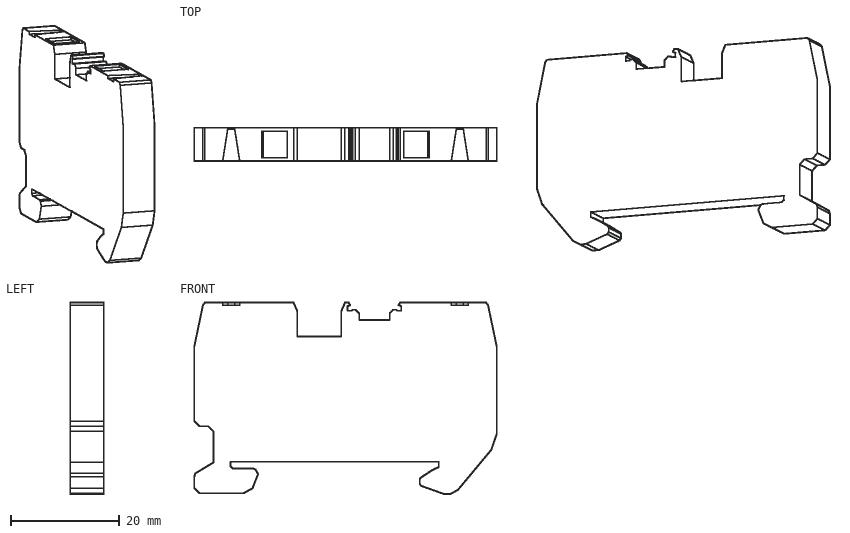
import cadquery as cq

length = 56.0
thickness = 6.2
height = 35.45

left = -length / 2
right = length / 2
top = height
corner_inset = 2.0
bevel_inset = 1.6
bevel_drop = 0.5
shoulder_drop = 8.15
rail_seat_z = 5.95

notch_x = left + 3.55
notch_top_z = 12.55
notch_bottom_z = 5.85
edge_bevel = 0.95
foot_bottom_z = 0.15
foot_side_top_z = 3.25
foot_shoulder_run = 0.2
foot_shoulder_rise = 0.6
foot_top_z = 4.75
foot_tip_x = left + 11.85
foot_tip_z = 3.7
foot_nose_run = 0.5
foot_nose_flat_run = 0.9
foot_nose_drop = 0.2
foot_toe_run = 1.05
foot_toe_z = 1.05
foot_sole_run = 2.7
slot_corner_bevel = 0.4
rail_slot_left_x = left + 6.75

rail_slot_right_x = left + 45.25
hook_tip_x = left + 41.7
hook_tip_bottom_z = 1.9
hook_tip_top_z = 2.7
hook_lower_bevel_run = 0.3
hook_lower_bevel_drop = 0.4
hook_upper_bevel_run = 0.15
hook_upper_bevel_rise = 0.3
hook_bottom_x = left + 46.2
hook_heel_x = left + 47.4
heel_bevel_run = 1.4
heel_bevel_rise = 0.75
hook_slope_run = 1.3
hook_slope_z = 4.4
hook_root_run = 0.6
hook_root_z = 4.75
slot_wall_bottom_z = 5.0
side_bottom_z = 11.1
knee_inset = 1.0
knee_x = right - knee_inset
knee_z = 8.2

slot_left_x = left + 19.1
slot_right_x = left + 27.2
slot_depth = 6.25
slot_lead_in = 0.7
slot_lead_in_drop = 1.6

marker_x = left + 33.35
marker_half_floor = 2.8
marker_depth = 3.2
lip_top_half = 4.75
lip_tip_half = 4.45
lip_tip_drop = 0.5
lip_root_half = 4.95
lip_root_drop = 0.7
groove_drop = 1.5
groove_end_half = 4.2
ridge_outer_half = 4.0
ridge_inner_half = 3.5
ridge_drop = 1.3
ridge_foot_drop = 2.0

recess_depth = 0.5
wedge_x = 21.15
wedge_front_width = 3.15
wedge_back_width = 1.3
wedge_back_wall = 0.3
pocket_inner_x = 10.8
pocket_outer_x = 15.5
pocket_wall_run = 0.3
pocket_width = 4.9


def marker_recess_side(side):
    """Outline of one side of the marker recess, from the lip down to the floor."""
    profile = [
        (lip_top_half, 0),
        (lip_tip_half, lip_tip_drop),
        (lip_root_half, lip_root_drop),
        (lip_root_half, groove_drop),
        (groove_end_half, groove_drop),
        (ridge_outer_half, ridge_drop),
        (ridge_inner_half, ridge_drop),
        (marker_half_floor, ridge_foot_drop),
        (marker_half_floor, marker_depth),
    ]
    return [(marker_x + side * half_width, top - drop) for half_width, drop in profile]


def top_outline():
    """Top edge from the left shoulder to the right shoulder."""
    left_part = [
        (left, top - shoulder_drop),
        (left + bevel_inset, top - bevel_drop),
        (left + corner_inset, top),
    ]
    bridge_slot = [
        (slot_left_x - slot_lead_in, top),
        (slot_left_x, top - slot_lead_in_drop),
        (slot_left_x, top - slot_depth),
        (slot_right_x, top - slot_depth),
        (slot_right_x, top - slot_lead_in_drop),
        (slot_right_x + slot_lead_in, top),
    ]
    marker_recess = marker_recess_side(-1) + marker_recess_side(1)[::-1]
    right_part = [(-x, z) for x, z in reversed(left_part)]
    return left_part + bridge_slot + marker_recess + right_part


def right_foot_outline():
    """Right side and hooked foot, from the side wall round to the rail seat."""
    return [
        (right, side_bottom_z),
        (knee_x, knee_z),
        (hook_heel_x + heel_bevel_run, heel_bevel_rise),
        (hook_heel_x, 0),
        (hook_bottom_x, 0),
        (hook_tip_x + hook_lower_bevel_run, hook_tip_bottom_z - hook_lower_bevel_drop),
        (hook_tip_x, hook_tip_bottom_z),
        (hook_tip_x, hook_tip_top_z),
        (hook_tip_x + hook_upper_bevel_run, hook_tip_top_z + hook_upper_bevel_rise),
        (rail_slot_right_x - hook_slope_run, hook_slope_z),
        (rail_slot_right_x - hook_root_run, hook_root_z),
        (rail_slot_right_x, slot_wall_bottom_z),
        (rail_slot_right_x, rail_seat_z),
    ]


def left_foot_outline():
    """Left foot and side notch, from the rail seat up to the side wall."""
    return [
        (rail_slot_left_x, rail_seat_z),
        (rail_slot_left_x, foot_top_z + slot_corner_bevel),
        (rail_slot_left_x + slot_corner_bevel, foot_top_z),
        (foot_tip_x - foot_nose_flat_run, foot_top_z),
        (foot_tip_x - foot_nose_run, foot_top_z - foot_nose_drop),
        (foot_tip_x, foot_tip_z),
        (foot_tip_x - foot_toe_run, foot_toe_z),
        (foot_tip_x - foot_sole_run, foot_bottom_z),
        (left + edge_bevel, foot_bottom_z),
        (left, foot_bottom_z + edge_bevel),
        (left, foot_side_top_z),
        (left + foot_shoulder_run, foot_side_top_z + foot_shoulder_rise),
        (notch_x, notch_bottom_z),
        (notch_x, notch_top_z - edge_bevel),
        (notch_x - edge_bevel, notch_top_z),
        (left + edge_bevel, notch_top_z),
        (left, notch_top_z + edge_bevel),
    ]


def housing():
    outline = top_outline() + right_foot_outline() + left_foot_outline()
    return cq.Workplane("XZ").polyline(outline).close().extrude(thickness / 2, both=True)


def wedge_recess():
    """Tapered recess, open at the front face."""
    front_y = -thickness / 2
    back_y = thickness / 2 - wedge_back_wall
    outline = [
        (wedge_x - wedge_front_width / 2, front_y),
        (wedge_x + wedge_front_width / 2, front_y),
        (wedge_x + wedge_back_width / 2, back_y),
        (wedge_x - wedge_back_width / 2, back_y),
    ]
    return cq.Workplane("XY", origin=(0, 0, top)).polyline(outline).close().extrude(-recess_depth)


def pocket_recess():
    """Rectangular recess whose outer wall slopes."""
    section = [
        (pocket_inner_x, top),
        (pocket_outer_x, top),
        (pocket_outer_x - pocket_wall_run, top - recess_depth),
        (pocket_inner_x, top - recess_depth),
    ]
    return cq.Workplane("XZ").polyline(section).close().extrude(pocket_width / 2, both=True)


result = housing()
for recess in (wedge_recess(), pocket_recess()):
    result = result.cut(recess).cut(recess.mirror("YZ"))